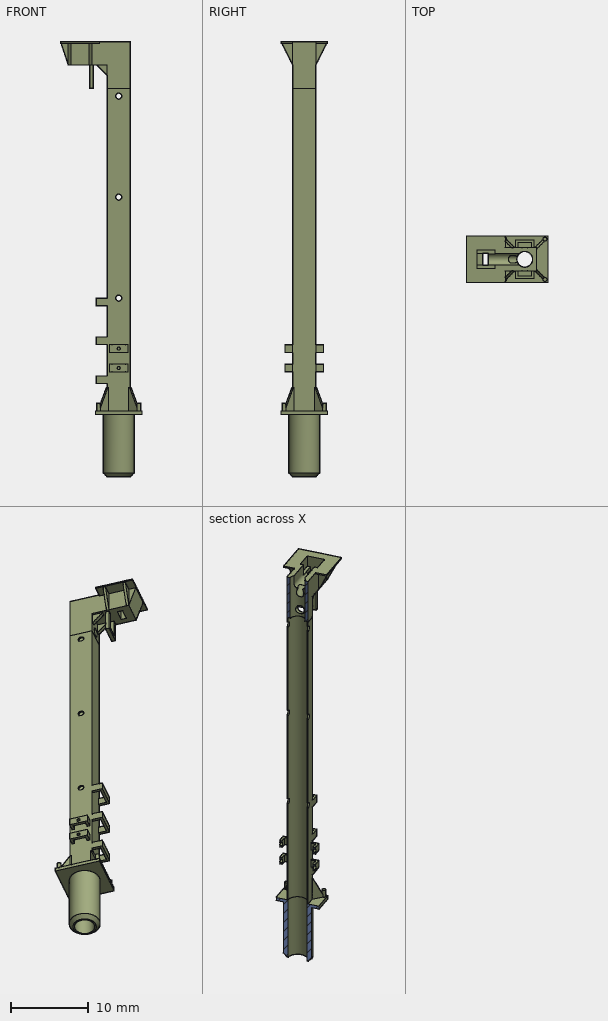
import cadquery as cq
import math


mast_width = 3.0
half_mast = mast_width / 2
mast_top = 42.0
mast_bore_diameter = 2.6
side_hole_diameter = 0.75
side_hole_heights = [15.0, 28.0, 41.0]

spigot_diameter = 4.0
spigot_length = 8.0
spigot_chamfer = 0.5
flange_width = 6.0
flange_thickness = 0.5
gusset_thickness = 0.3
gusset_height = 3.0
gusset_reach = 2.6
bolt_diameter = 0.5
bolt_height = 1.0
bolt_offset = 2.6
corner_angles = (45, 135, 225, 315)

rear_hoop_depth = 1.4
rear_hoop_bottoms = [4.0, 9.0, 14.0]
side_hoop_width = 2.4
side_hoop_depth = 1.0
side_hoop_bottoms = [5.5, 8.0]
hoop_height = 1.0
hoop_wall = 0.35
hoop_hole_diameter = 0.4

elbow_height = 6.0
head_bore_diameter = 2.0
arm_height = 3.0
head_top = mast_top + elbow_height
arm_bottom = head_top - arm_height
arm_end = -6.5
roof_end = -7.5
roof_inner_end = -2.5
roof_width = 6.0
roof_thickness = 0.2
roof_rib_thickness = 0.35
roof_rib_starts = [arm_end, -3.8]

arm_floor = 1.0
channel_width = 1.5
channel_bottom = arm_bottom + arm_floor
pocket_end = arm_end + roof_rib_thickness
pocket_inner_end = roof_rib_starts[1]
pocket_width = 2.4
pocket_ledge = 46.5
window_start = -5.4
window_end = -4.7

wire_hole_diameter = 1.2
wire_hole_height = mast_top + 1.0
slanted_hole_start = -2.1
slanted_hole_diameter = 1.0
brace_leg = 1.35
brace_thickness = 0.5

loop_start = -3.75
loop_thickness = 0.5
loop_width = channel_width + 2 * loop_thickness


def box(x_range, y_range, z_range):
    """Axis-aligned box between the given limits."""
    size = [high - low for low, high in (x_range, y_range, z_range)]
    corner = (x_range[0], y_range[0], z_range[0])
    return cq.Workplane("XY").box(*size, centered=False).translate(corner)


def centered_box(x_range, width, z_range):
    """Box that is symmetric about Y = 0."""
    return box(x_range, (-width / 2, width / 2), z_range)


def x_cylinder(diameter, x_range, z):
    """Cylinder along X on the plane Y = 0."""
    start, end = x_range
    return cq.Workplane("YZ", origin=(start, 0, z)).circle(diameter / 2).extrude(end - start)


def y_cylinder(diameter, y_range, z):
    """Cylinder along Y on the plane X = 0."""
    start, end = y_range
    return cq.Workplane("XZ", origin=(0, start, z)).circle(diameter / 2).extrude(start - end)


def mast_block(z_range):
    """Square length of the mast section."""
    return centered_box((-half_mast, half_mast), mast_width, z_range)


def bore(diameter, z_range):
    """Wire bore of the given diameter between two heights."""
    low, high = z_range
    return cq.Workplane("XY").workplane(offset=low).circle(diameter / 2).extrude(high - low)


def hoop(width, depth, bottom):
    """U-shaped hoop standing off the -Y face of the mast, open upward and downward."""
    z_range = (bottom, bottom + hoop_height)
    face = -half_mast
    outer = box((-width / 2, width / 2), (face - depth, face), z_range)
    inner_half = width / 2 - hoop_wall
    opening = box((-inner_half, inner_half), (face - depth + hoop_wall, face), z_range)
    return outer.cut(opening)


def side_hoop(bottom):
    """Hoop on the -Y face with a small hole through its front wall."""
    hole_height = bottom + hoop_height / 2
    outer_face = -half_mast - side_hoop_depth
    hole = y_cylinder(hoop_hole_diameter, (outer_face, outer_face + hoop_wall), hole_height)
    return hoop(side_hoop_width, side_hoop_depth, bottom).cut(hole)


def make_foot():
    """Spigot and square flange with diagonal gussets and bolts at the corners."""
    spigot = cq.Workplane("XY").circle(spigot_diameter / 2).extrude(-spigot_length)
    spigot = spigot.faces("<Z").chamfer(spigot_chamfer)
    flange = cq.Workplane("XY").rect(flange_width, flange_width).extrude(flange_thickness)
    foot = spigot.union(flange)

    diagonal_start = half_mast * math.sqrt(2)
    diagonal_end = gusset_reach * math.sqrt(2)
    gusset = (
        cq.Workplane("XZ")
        .moveTo(0, flange_thickness)
        .lineTo(diagonal_end, flange_thickness)
        .lineTo(diagonal_start, flange_thickness + gusset_height)
        .lineTo(0, flange_thickness + gusset_height)
        .close()
        .extrude(gusset_thickness / 2, both=True)
    )
    bolt = (
        cq.Workplane("XY", origin=(bolt_offset * math.sqrt(2), 0, flange_thickness))
        .circle(bolt_diameter / 2)
        .extrude(bolt_height)
    )
    corner = gusset.union(bolt)
    for angle in corner_angles:
        foot = foot.union(corner.rotate((0, 0, 0), (0, 0, 1), angle))

    foot = foot.cut(mast_block((flange_thickness, mast_top)))
    return foot.cut(bore(mast_bore_diameter, (-spigot_length, flange_thickness)))


def make_mast():
    """Bored square mast with wire hoops on three faces."""
    mast = mast_block((flange_thickness, mast_top))
    for bottom in rear_hoop_bottoms:
        rear_hoop = hoop(mast_width, rear_hoop_depth, bottom)
        mast = mast.union(rear_hoop.rotate((0, 0, 0), (0, 0, 1), -90))
    for bottom in side_hoop_bottoms:
        for angle in (0, 180):
            mast = mast.union(side_hoop(bottom).rotate((0, 0, 0), (0, 0, 1), angle))
    mast = mast.cut(bore(mast_bore_diameter, (flange_thickness, mast_top)))
    for height in side_hole_heights:
        mast = mast.cut(y_cylinder(side_hole_diameter, (-half_mast, half_mast), height))
    return mast


def make_arm():
    """Lamp arm with sloped nose, thin roof and tapered ribs under the eaves."""
    nose = (
        cq.Workplane("XZ")
        .moveTo(-half_mast, arm_bottom)
        .lineTo(arm_end, arm_bottom)
        .lineTo(roof_end, head_top)
        .lineTo(-half_mast, head_top)
        .close()
        .extrude(half_mast, both=True)
    )
    roof = centered_box((roof_end, roof_inner_end), roof_width, (head_top - roof_thickness, head_top))
    arm = nose.union(roof)
    for start in roof_rib_starts:
        rib = (
            cq.Workplane("YZ", origin=(start, 0, 0))
            .moveTo(-half_mast, arm_bottom)
            .lineTo(half_mast, arm_bottom)
            .lineTo(roof_width / 2, head_top)
            .lineTo(-roof_width / 2, head_top)
            .close()
            .extrude(roof_rib_thickness)
        )
        arm = arm.union(rib)
    return arm


def make_braces():
    """Two 45 degree braces between the elbow and the underside of the arm."""
    brace = (
        cq.Workplane("XZ")
        .moveTo(-half_mast, arm_bottom)
        .lineTo(-half_mast - brace_leg, arm_bottom)
        .lineTo(-half_mast, arm_bottom - brace_leg)
        .close()
        .extrude(-brace_thickness)
        .translate((0, channel_width / 2, 0))
    )
    return brace.union(brace.mirror("XZ"))


def make_loop():
    """Rectangular loop hanging below the arm."""
    x_range = (loop_start, loop_start + loop_thickness)
    outer = centered_box(x_range, loop_width, (mast_top, arm_bottom))
    return outer.cut(centered_box(x_range, channel_width, (mast_top + loop_thickness, arm_bottom)))


def wire_channel():
    """Round-bottomed channel from the light window to the bore."""
    x_range = (window_end, 0)
    axis_height = channel_bottom + channel_width / 2
    upper = centered_box(x_range, channel_width, (axis_height, head_top))
    return upper.union(x_cylinder(channel_width, x_range, axis_height))


def lamp_pocket():
    """Stepped pocket with a light window through the floor of the arm."""
    ledge = centered_box((pocket_end, pocket_inner_end), pocket_width, (pocket_ledge, head_top))
    well = centered_box((pocket_end, window_end), channel_width, (channel_bottom, head_top))
    window = centered_box((window_start, window_end), channel_width, (arm_bottom, head_top))
    return ledge.union(well).union(window)


def slanted_wire_hole():
    """Hole sloping down at 45 degrees from the channel floor to the bore."""
    shift = slanted_hole_diameter / 2 * math.sqrt(0.5)
    start = cq.Vector(slanted_hole_start + shift, 0, channel_bottom + shift)
    length = -start.x * math.sqrt(2)
    direction = cq.Vector(1, 0, -1)
    return cq.Workplane(cq.Solid.makeCylinder(slanted_hole_diameter / 2, length, start, direction))


def make_head():
    """Elbow block, lamp arm, braces and loop with all wire passages."""
    head = mast_block((mast_top, head_top)).union(make_arm())
    head = head.union(make_braces()).union(make_loop())
    head = head.cut(bore(head_bore_diameter, (mast_top, head_top)))
    head = head.cut(lamp_pocket()).cut(wire_channel()).cut(slanted_wire_hole())
    return head.cut(x_cylinder(wire_hole_diameter, (-half_mast, 0), wire_hole_height))


foot = make_foot()
mast = make_mast()
head = make_head()

result = cq.Compound.makeCompound([foot.val(), mast.val(), head.val()])